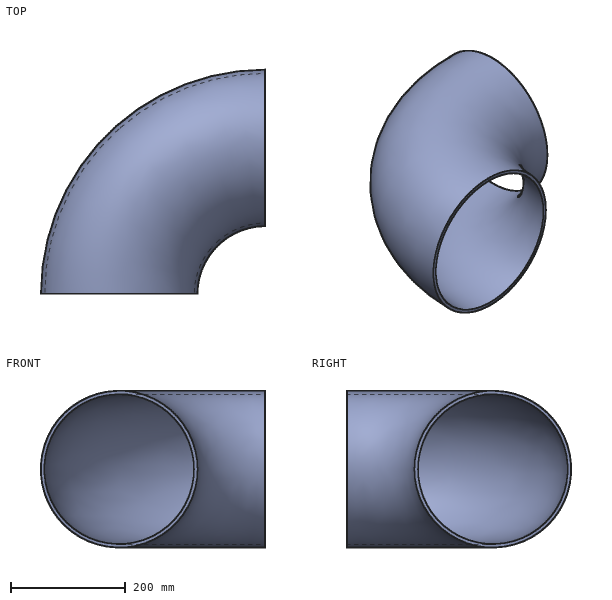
import cadquery as cq

overall_size = 390.5
outer_diameter = 273.0
wall_thickness = 6.2
bend_angle = 90.0

outer_radius = outer_diameter / 2
inner_radius = outer_radius - wall_thickness
bend_radius = overall_size - outer_radius

ring = (
    cq.Workplane("XZ")
    .center(-bend_radius, 0)
    .circle(outer_radius)
    .circle(inner_radius)
)
result = ring.revolve(bend_angle, (bend_radius, 0, 0), (bend_radius, -1, 0))